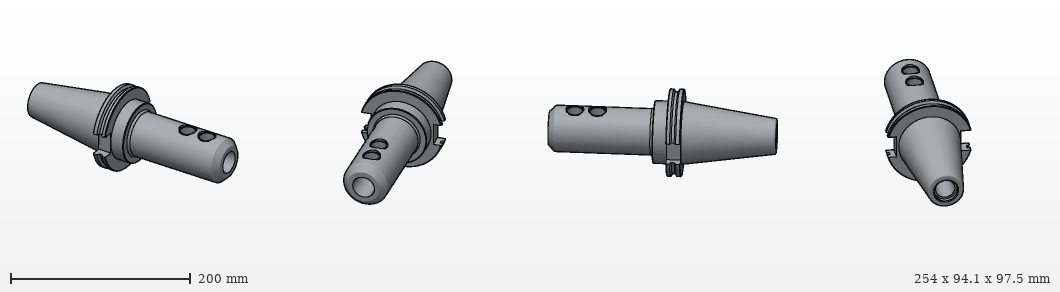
import cadquery as cq
import math

total_length = 254.0

gauge_diameter = 69.9
gauge_x = 103.0
taper_ratio = 7 / 24
small_end_diameter = gauge_diameter - gauge_x * taper_ratio
small_end_round = 2.0

flange_diameter = 97.5
flange_start = 104.5
flange_width = 16.0
flange_end = flange_start + flange_width
flange_chamfer = 0.8
groove_floor_diameter = 91.5
groove_floor_width = 3.3
groove_centre = flange_start + 8.5
groove_half_angle = 30

slot_width = 25.7
slot_floor_back = 37.5
slot_floor_front = 35.3

collar_diameter = 70.0
collar_end = 136.7
collar_chamfer = 0.8
shank_diameter = 52.0
root_cone_size = 3.0
nose_chamfer = 7.4
nose_round = 0.5
nose_shoulder_round = 2.3

bore_diameter = 21.8
recess_diameter = 26.5
recess_depth = 5.3
recess_mouth_diameter = 28.5
tool_bore_diameter = 25.5
tool_bore_depth = 76.2

screw_diameter = 17.3
screw_mouth_diameter = 20.0
screw_mouth_depth = 2.5
screw_count = 2
screw_spacing = 25.5
last_screw_x = total_length - 29.0


def disc(start, end, diameter):
    return cq.Workplane("YZ", origin=(start, 0, 0)).circle(diameter / 2).extrude(end - start)


def cone(start, end, start_diameter, end_diameter):
    return cq.Workplane("XY").polyline([
        (start, 0),
        (start, start_diameter / 2),
        (end, end_diameter / 2),
        (end, 0),
    ]).close().revolve(360, (0, 0, 0), (1, 0, 0))


def make_flange():
    flange = disc(flange_start, flange_end, flange_diameter).edges().chamfer(flange_chamfer)
    floor_radius = groove_floor_diameter / 2
    outer_radius = flange_diameter / 2
    floor_half = groove_floor_width / 2
    mouth_half = floor_half + (outer_radius - floor_radius) / math.tan(math.radians(90 - groove_half_angle))
    groove = cq.Workplane("XY").polyline([
        (groove_centre - mouth_half, outer_radius),
        (groove_centre - floor_half, floor_radius),
        (groove_centre + floor_half, floor_radius),
        (groove_centre + mouth_half, outer_radius),
    ]).close().revolve(360, (0, 0, 0), (1, 0, 0))
    return flange.cut(groove)


def drive_slot(side, floor):
    depth = flange_diameter / 2 - floor
    centre = (flange_start + flange_width / 2, side * (floor + depth / 2), 0)
    return cq.Workplane("XY", origin=centre).box(flange_width, depth, slot_width)


def screw_hole(x):
    surface_z = shank_diameter / 2
    hole = cq.Workplane("XY", origin=(x, 0, 0)).circle(screw_diameter / 2).extrude(surface_z)
    mouth = (
        cq.Workplane("XY", origin=(x, 0, surface_z - screw_mouth_depth))
        .circle(screw_mouth_diameter / 2)
        .extrude(screw_mouth_depth)
    )
    return hole.union(mouth)


taper = cone(0, gauge_x, small_end_diameter, gauge_diameter).faces("<X").edges().fillet(small_end_round)
neck = disc(gauge_x, flange_start, gauge_diameter)
collar = disc(flange_end, collar_end, collar_diameter).faces(">X").edges().chamfer(collar_chamfer)
shank = (
    disc(collar_end, total_length, shank_diameter)
    .faces(">X").edges().chamfer(nose_chamfer)
    .faces(">X").edges().fillet(nose_round)
    .edges(cq.selectors.RadiusNthSelector(-1)).edges(">X").fillet(nose_shoulder_round)
)
root = cone(
    collar_end,
    collar_end + root_cone_size,
    shank_diameter + root_cone_size,
    shank_diameter,
)
body = taper.union(neck).union(make_flange()).union(collar).union(shank).union(root)

body = body.cut(drive_slot(1, slot_floor_back)).cut(drive_slot(-1, slot_floor_front))

mouth_depth = (recess_mouth_diameter - recess_diameter) / 2
body = body.cut(disc(0, total_length, bore_diameter))
body = body.cut(disc(0, recess_depth, recess_diameter))
body = body.cut(cone(0, mouth_depth, recess_mouth_diameter, recess_diameter))
body = body.cut(disc(total_length - tool_bore_depth, total_length, tool_bore_diameter))

for index in range(screw_count):
    body = body.cut(screw_hole(last_screw_x - index * screw_spacing))

result = body